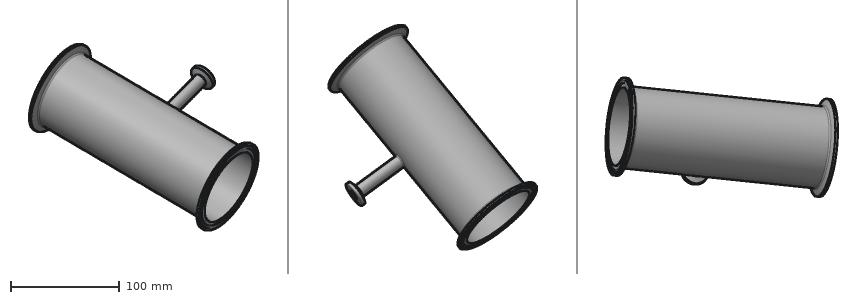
import cadquery as cq
import math

LENGTH = 196.8
TUBE_OD = 76.2
TUBE_BORE = 72.8
FLANGE_OD = 91.0
FLANGE_RIM = 2.5
NECK_FILLET = 1.5

GROOVE_MEAN_DIAMETER = 83.3
GROOVE_WIDTH = 2.8
GROOVE_DEPTH = 1.2
GROOVE_LIP_FILLET = 0.4

BRANCH_REACH = 92.1
BRANCH_OD = 12.8
BRANCH_BORE = 9.5
BRANCH_FLANGE_OD = 25.0
BRANCH_RIM = 3.7
BRANCH_FACE_FILLET = 0.4
BRANCH_ROOT_FILLET = 1.2

BACK_ANGLE = 20.0


def back_depth(tube_od, flange_od, rim):
    """Distance from a flange's end face to where its sloping back meets the tube."""
    return rim + (flange_od - tube_od) / 2 * math.tan(math.radians(BACK_ANGLE))


def ferrule(length, tube_od, flange_od, rim):
    """Solid tube along +Z with a clamp flange whose end face lies on Z = 0."""
    profile = (
        cq.Workplane("XZ")
        .polyline([
            (0, 0),
            (flange_od / 2, 0),
            (flange_od / 2, rim),
            (tube_od / 2, back_depth(tube_od, flange_od, rim)),
            (tube_od / 2, length),
            (0, length),
        ])
        .close()
    )
    return profile.revolve(360, (0, 0, 0), (0, 1, 0))


def round_neck(body):
    """Round the corner where the main flange back meets the tube."""
    back = back_depth(TUBE_OD, FLANGE_OD, FLANGE_RIM)
    neck_zone = cq.selectors.BoxSelector(
        (-FLANGE_OD, -FLANGE_OD, back - NECK_FILLET),
        (FLANGE_OD, FLANGE_OD, back + NECK_FILLET),
    )
    return body.edges("%CIRCLE").edges(neck_zone).fillet(NECK_FILLET)


def cut_gasket_groove(body):
    """Sink an arc-shaped ring groove with rounded lips into the face on Z = 0."""
    mean_radius = GROOVE_MEAN_DIAMETER / 2
    inner = mean_radius - GROOVE_WIDTH / 2
    outer = mean_radius + GROOVE_WIDTH / 2
    ring = (
        cq.Workplane("XZ")
        .moveTo(inner, 0)
        .threePointArc((mean_radius, GROOVE_DEPTH), (outer, 0))
        .close()
        .revolve(360, (0, 0, 0), (0, 1, 0))
    )
    grooved = body.cut(ring)
    inner_lip = cq.selectors.RadiusNthSelector(0)
    outer_lip = cq.selectors.RadiusNthSelector(1)
    return grooved.faces("<Z").edges(inner_lip + outer_lip).fillet(GROOVE_LIP_FILLET)


def main_tube():
    """Solid main tube with a grooved flange at both ends."""
    half = ferrule(LENGTH / 2, TUBE_OD, FLANGE_OD, FLANGE_RIM)
    half = cut_gasket_groove(round_neck(half))
    left = half.rotate((0, 0, 0), (0, 1, 0), 90).translate((-LENGTH / 2, 0, 0))
    return left.union(left.mirror("YZ")).clean()


def branch():
    """Solid branch from the tube axis to its flanged end."""
    upright = ferrule(BRANCH_REACH, BRANCH_OD, BRANCH_FLANGE_OD, BRANCH_RIM)
    upright = upright.faces("<Z").edges().fillet(BRANCH_FACE_FILLET)
    return upright.rotate((0, 0, 0), (1, 0, 0), 90).translate((0, BRANCH_REACH, 0))


def add_root_fillet(body):
    """Round the saddle-shaped corner between the branch and the main tube."""
    reach = BRANCH_OD / 2 + BRANCH_ROOT_FILLET
    root_zone = cq.selectors.BoxSelector(
        (-reach, TUBE_BORE / 2, -reach),
        (reach, TUBE_OD / 2 + BRANCH_ROOT_FILLET, reach),
    )
    return body.edges(root_zone).edges("not %LINE").fillet(BRANCH_ROOT_FILLET)


outside = add_root_fillet(main_tube().union(branch()))

tube_bore = cq.Workplane("YZ").circle(TUBE_BORE / 2).extrude(LENGTH / 2, both=True)
branch_bore = cq.Workplane("XZ").circle(BRANCH_BORE / 2).extrude(-BRANCH_REACH)

result = outside.cut(tube_bore).cut(branch_bore)